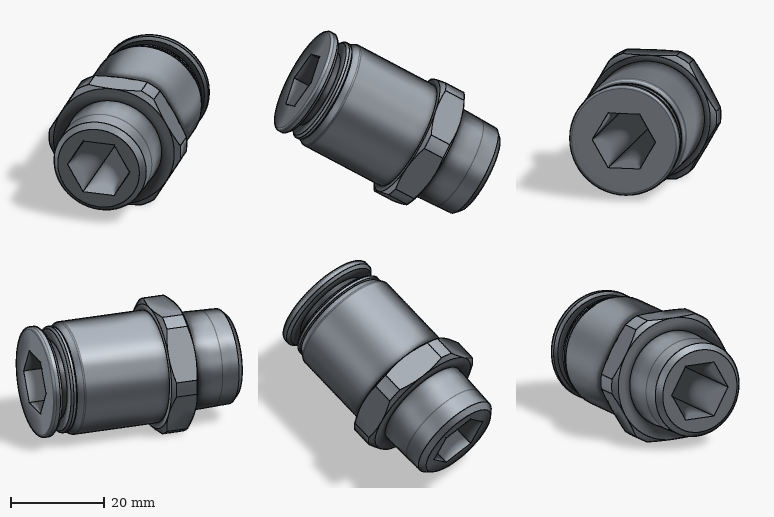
import cadquery as cq
import math


total_length = 44.15
spigot_chamfer = 1.2
spigot_line_y = 5.0
nut_start = 11.75
nut_end = 17.85
body_shoulder_y = 37.15
groove_y = 38.6
collar_end = 39.95
flange_thickness = 2.08
flange_start = total_length - flange_thickness

spigot_tip_radius = 10.35
spigot_line_radius = 10.45
spigot_root_radius = 10.7
body_radius = 12.25
groove_radius = 11.3
collar_radius = 11.55
neck_radius = 8.65
flange_radius = 12.0

shoulder_blend = 0.18
collar_chamfer = 0.5
flange_fillet = 0.55
flange_chamfer = 0.65
collar_groove_bevel = collar_radius - groove_radius

nut_across_flats = 27.0
nut_corner_diameter = 29.5
nut_chamfer_angle = 30
socket_across_flats = 12.0


def revolve_profile(profile):
    """Turn a closed (radius, y) profile around the Y axis."""
    return profile.close().revolve(360, (0, 0, 0), (0, 1, 0))


def hex_prism(across_flats, start, end):
    """Hexagonal bar along Y with corners on the X axis and flats facing +Z and -Z."""
    corner_diameter = across_flats / math.cos(math.radians(30))
    plane = cq.Workplane("XZ", origin=(0, start, 0))
    return plane.polygon(6, corner_diameter).extrude(start - end)


def make_spigot():
    return revolve_profile(
        cq.Workplane("XY")
        .lineTo(spigot_tip_radius - spigot_chamfer, 0)
        .lineTo(spigot_tip_radius, spigot_chamfer)
        .lineTo(spigot_line_radius, spigot_line_y)
        .lineTo(spigot_root_radius, nut_start)
        .lineTo(0, nut_start)
    )


def make_nut():
    """Hexagon whose corners are turned down and chamfered at both ends."""
    corner_radius = nut_corner_diameter / 2
    face_radius = nut_across_flats / 2
    chamfer_depth = (corner_radius - face_radius) * math.tan(math.radians(nut_chamfer_angle))
    envelope = revolve_profile(
        cq.Workplane("XY")
        .moveTo(0, nut_start)
        .lineTo(face_radius, nut_start)
        .lineTo(corner_radius, nut_start + chamfer_depth)
        .lineTo(corner_radius, nut_end - chamfer_depth)
        .lineTo(face_radius, nut_end)
        .lineTo(0, nut_end)
    )
    return hex_prism(nut_across_flats, nut_start, nut_end).intersect(envelope)


def make_body():
    """Sleeve with a tapered shoulder, a fine groove and an end collar."""
    slope = math.atan2(body_radius - groove_radius, groove_y - body_shoulder_y)
    blend_radius = shoulder_blend / math.tan(slope / 2)
    blend_center_x = body_radius - blend_radius
    blend_start_y = body_shoulder_y - shoulder_blend

    def blend_point(angle):
        return (blend_center_x + blend_radius * math.cos(angle), blend_start_y + blend_radius * math.sin(angle))

    return revolve_profile(
        cq.Workplane("XY")
        .moveTo(0, nut_end)
        .lineTo(body_radius, nut_end)
        .lineTo(body_radius, blend_start_y)
        .threePointArc(blend_point(slope / 2), blend_point(slope))
        .lineTo(groove_radius, groove_y)
        .lineTo(collar_radius, groove_y + collar_groove_bevel)
        .lineTo(collar_radius, collar_end - collar_chamfer)
        .lineTo(collar_radius - collar_chamfer, collar_end)
        .lineTo(0, collar_end)
    )


def make_release_ring():
    """Neck and flange of the release ring at the tube end."""
    fillet_mid = flange_fillet * (1 - math.sqrt(0.5))
    return revolve_profile(
        cq.Workplane("XY")
        .moveTo(0, collar_end)
        .lineTo(neck_radius, collar_end)
        .lineTo(neck_radius, flange_start)
        .lineTo(flange_radius - flange_chamfer, flange_start)
        .lineTo(flange_radius, flange_start + flange_chamfer)
        .lineTo(flange_radius, total_length - flange_fillet)
        .threePointArc(
            (flange_radius - fillet_mid, total_length - fillet_mid),
            (flange_radius - flange_fillet, total_length),
        )
        .lineTo(0, total_length)
    )


solid = make_spigot().union(make_nut()).union(make_body()).union(make_release_ring())
result = solid.cut(hex_prism(socket_across_flats, 0, total_length))